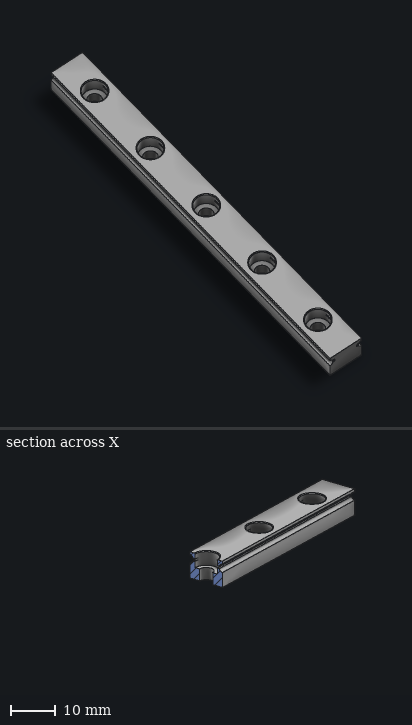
import cadquery as cq

length = 100.0
width = 9.0
height = 6.5

groove_drop = 1.8
groove_radius = 1.0
groove_centre_offset = 0.1
relief_width = 0.5
relief_depth = 1.4

hole_count = 5
hole_pitch = 20.0
hole_diameter = 3.5
counterbore_diameter = 6.0
counterbore_depth = 3.5
mouth_chamfer = 0.2


def rail_body():
    return cq.Workplane("XY").box(length, width, height, centered=(True, True, False))


def groove_cutter(side):
    """Track and relief slot for the long side at +Y (side = 1) or -Y (side = -1)."""
    centre_z = height - groove_drop
    side_y = side * width / 2
    profile_plane = cq.Workplane("YZ").workplane(offset=-length / 2)
    track = (
        profile_plane.center(side_y + side * groove_centre_offset, centre_z)
        .circle(groove_radius)
        .extrude(length)
    )
    relief = (
        profile_plane.center(side_y - side * relief_depth / 2, centre_z)
        .rect(relief_depth, relief_width)
        .extrude(length)
    )
    return track.union(relief)


def drill_mounting_holes(body):
    return (
        body.faces(">Z")
        .workplane(origin=(0, 0, height))
        .rarray(hole_pitch, 1, hole_count, 1)
        .cboreHole(hole_diameter, counterbore_diameter, counterbore_depth)
    )


def chamfer_counterbore_mouths(body):
    return body.faces(">Z").edges("%CIRCLE").chamfer(mouth_chamfer)


rail = rail_body()
for side in (1, -1):
    rail = rail.cut(groove_cutter(side))
rail = drill_mounting_holes(rail)
result = chamfer_counterbore_mouths(rail)